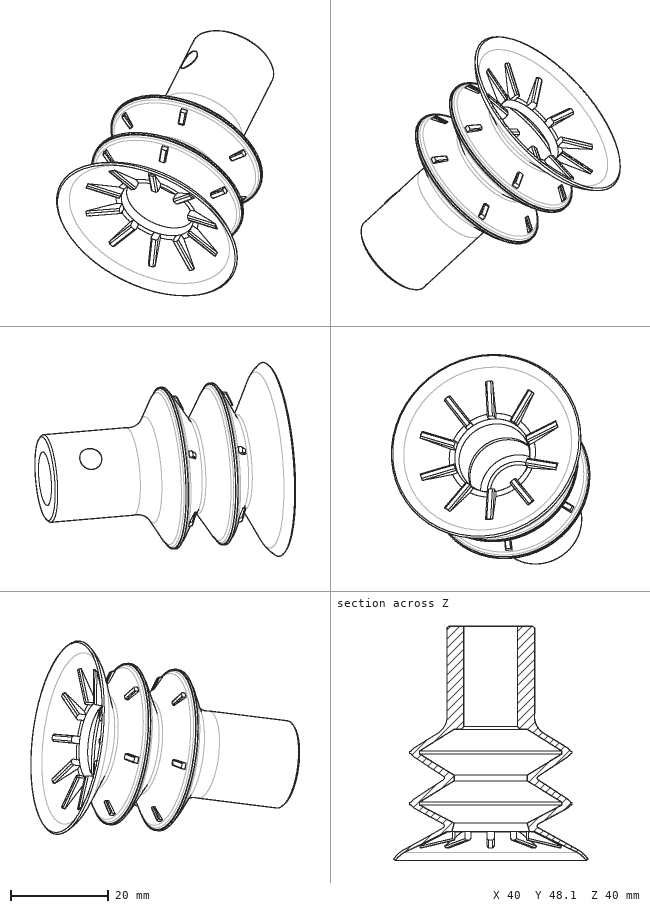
import cadquery as cq


length = 48.15
lip_diameter = 40.0
lip_radius = lip_diameter / 2

stem_radius = 9.05
stem_chamfer = 0.45
stem_base_y = 30.25
flare_end = (10.95, 26.15)
bore_radius = 5.5
bore_mouth_chamfer = 0.55
shoulder_radius = 7.45
shoulder_y = 26.95

neck_radius = 9.6
groove_depth = 0.25
neck_bore_radius = 7.45
neck_ys = (7.15, 16.95)
neck_half_width = 0.4
neck_bore_half_width = 0.6
ridge_ys = (11.7, 22.2)
ridge_radius = 16.7
bead_half_width = 0.25
bead_height = 0.25
nose_radius = 15.7
nose_half_width = 1.0
nose_bend = (16.2, 0.6)
ridge_bore_radius = 14.6
ridge_bore_half_width = 0.3

rim_edge = (19.65, 0.0)
rim_corner_y = 0.35
lip_bend = (18.15, 2.1)
lip_curl_middle = (19.15, 1.3)
lip_bore_bend = (17.7, 1.7)
lip_bore_curl_middle = (18.8, 0.9)
lip_bore_top = (9.1, 5.87)
throat_edge = (7.95, 5.95)

rib_count = 10
rib_width = 1.5
rib_edge_chamfer = 0.35
rib_outer = (15.0, 2.6)
rib_inner = (throat_edge[0], 4.2)
rib_root_outer_y = 3.15
rib_root_inner_y = 6.35

pad_count = 6
pad_width = 1.3
pad_edge_chamfer = 0.2
pad_outline = [(15.4, -0.95), (15.4, -1.3), (15.3, -2.0), (12.7, -3.25), (12.7, -2.2)]

badge_radius = 2.3
badge_raise = 0.15
badge_root = 0.5
badge_y = 40.15
badge_angle = 48.0


def ridge_points(y):
    """Outside of one fold, from its lip side to its stem side."""
    flank = [
        (nose_radius, nose_half_width),
        nose_bend,
        (ridge_radius - bead_height, bead_half_width),
        (ridge_radius, bead_half_width),
    ]
    lower = [(r, y - offset) for r, offset in flank]
    upper = [(r, y + offset) for r, offset in reversed(flank)]
    return lower + upper


def neck_arc(profile, y):
    """Line to a neck and round its bottom, going toward the stem."""
    edge_radius = neck_radius + groove_depth
    return (
        profile.lineTo(edge_radius, y - neck_half_width)
        .threePointArc((neck_radius, y), (edge_radius, y + neck_half_width))
    )


def fold_bore(profile, y):
    """Line to the inside of a fold and along its bottom, going toward the lip."""
    return (
        profile.lineTo(ridge_bore_radius, y + ridge_bore_half_width)
        .lineTo(ridge_bore_radius, y - ridge_bore_half_width)
    )


def make_body():
    low_neck, high_neck = neck_ys
    low_ridge, high_ridge = ridge_ys

    profile = (
        cq.Workplane("XY")
        .moveTo(*rim_edge)
        .lineTo(lip_radius, rim_corner_y)
        .threePointArc(lip_curl_middle, lip_bend)
    )
    profile = neck_arc(profile, low_neck)
    for point in ridge_points(low_ridge):
        profile = profile.lineTo(*point)
    profile = neck_arc(profile, high_neck)
    for point in ridge_points(high_ridge):
        profile = profile.lineTo(*point)
    profile = (
        profile.lineTo(*flare_end)
        .tangentArcPoint((stem_radius, stem_base_y), relative=False)
        .lineTo(stem_radius, length - stem_chamfer)
        .lineTo(stem_radius - stem_chamfer, length)
    )

    profile = (
        profile.lineTo(bore_radius, length)
        .lineTo(bore_radius, shoulder_y + bore_mouth_chamfer)
        .lineTo(bore_radius + bore_mouth_chamfer, shoulder_y)
        .lineTo(shoulder_radius, shoulder_y)
    )
    profile = fold_bore(profile, high_ridge)
    profile = (
        profile.lineTo(neck_bore_radius, high_neck + neck_bore_half_width)
        .lineTo(neck_bore_radius, high_neck - neck_bore_half_width)
    )
    profile = fold_bore(profile, low_ridge)
    profile = (
        profile.lineTo(neck_bore_radius, low_neck + neck_bore_half_width)
        .lineTo(*throat_edge)
        .lineTo(*lip_bore_top)
        .lineTo(*lip_bore_bend)
        .threePointArc(lip_bore_curl_middle, rim_edge)
        .close()
    )
    return profile.revolve(360, (0, 0), (0, 1))


def midpoint(a, b):
    return ((a[0] + b[0]) / 2, (a[1] + b[1]) / 2)


def radial_rib(outline, width, crest_start, crest_end, chamfer):
    """Plate centred on the XY plane with its two crest edges chamfered."""
    plate = cq.Workplane("XY").polyline(outline).close().extrude(width / 2, both=True)
    x, y = midpoint(crest_start, crest_end)
    for z in (-width / 2, width / 2):
        plate = plate.edges(cq.selectors.NearestToPointSelector((x, y, z))).chamfer(chamfer)
    return plate


def ring(feature, count):
    """Evenly spaced copies about Y, one of them on +Z."""
    step = 360 / count
    return [feature.rotate((0, 0, 0), (0, 1, 0), -90 + i * step) for i in range(count)]


def lip_ribs():
    outline = [
        rib_outer,
        rib_inner,
        (rib_inner[0], rib_root_inner_y),
        (lip_bore_top[0], rib_root_inner_y),
        (rib_outer[0], rib_root_outer_y),
    ]
    rib = radial_rib(outline, rib_width, rib_outer, rib_inner, rib_edge_chamfer)
    return ring(rib, rib_count)


def fold_pads(ridge_y):
    outline = [(r, ridge_y + offset) for r, offset in pad_outline]
    crest_start, crest_end = outline[2:4]
    pad = radial_rib(outline, pad_width, crest_start, crest_end, pad_edge_chamfer)
    return ring(pad, pad_count)


def stem_badge():
    """Thin round pad that follows the curve of the stem."""
    disc = (
        cq.Workplane("XY")
        .center(0, badge_y)
        .circle(badge_radius)
        .extrude(stem_radius + 2 * badge_raise)
        .rotate((0, 0, 0), (0, 1, 0), -badge_angle)
    )
    shell = (
        cq.Workplane("XZ", origin=(0, badge_y + 2 * badge_radius, 0))
        .circle(stem_radius + badge_raise)
        .circle(stem_radius - badge_root)
        .extrude(4 * badge_radius)
    )
    return disc.intersect(shell)


cup = make_body()
for rib in lip_ribs():
    cup = cup.union(rib)
for ridge_y in ridge_ys:
    for pad in fold_pads(ridge_y):
        cup = cup.union(pad)
result = cup.union(stem_badge()).solids()